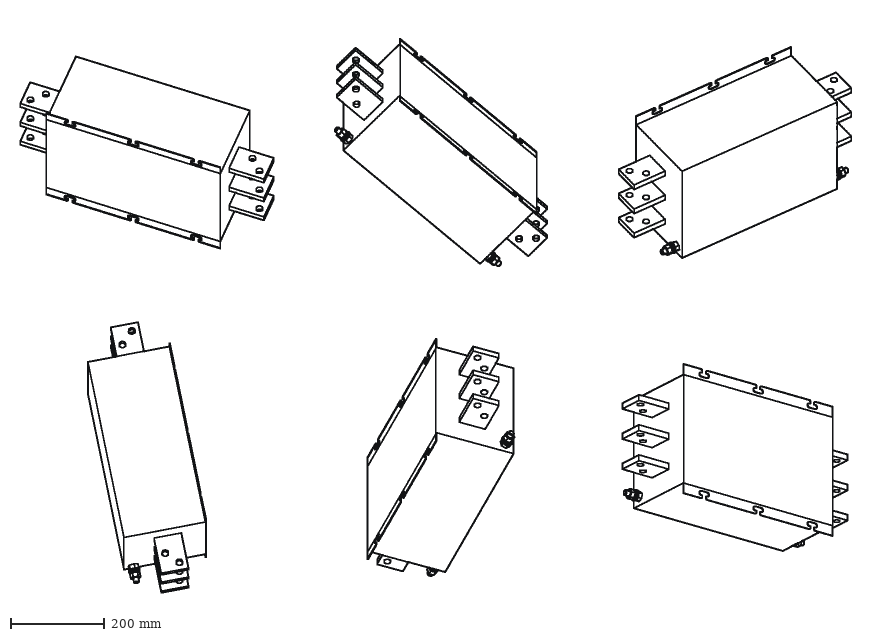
import cadquery as cq
import math

overall_length = 560.0
housing_length = 400.0
housing_height = 252.0
overall_depth = 180.0
plate_height = 300.0
plate_thickness = 1.5

slots_per_edge = 3
slot_pitch = 145.0
slot_length = 25.0
slot_width = 10.0
slot_edge_distance = 12.5
neck_width = 10.0
neck_mouth_chamfer = 2.0

bar_count = 3
bar_pitch = 70.0
bar_thickness = 13.5
bar_width = 60.0
bar_center_y = 84.0
bar_hole_diameter = 14.0
bar_hole_spacing = 26.0
outer_hole_end_distance = 17.0

stud_back_inset = 20.0
stud_bottom_inset = 21.0
stud_diameter = 12.0
stud_length = 39.0
stud_tip_chamfer = 1.4
nut_across_flats = 19.0
inner_nut_thickness = 10.0
inner_nut_turn = -19.0
outer_nut_turn = 0.0
outer_nut_thickness = 10.0
flat_washer_diameter = 24.0
flat_washer_thickness = 3.5
contact_washer_diameter = 23.0
contact_washer_thickness = 1.5
lock_washer_diameter = 21.0
lock_washer_thickness = 3.5

half_housing = housing_length / 2
half_plate = plate_height / 2
stud_y = overall_depth - stud_back_inset
stud_z = stud_bottom_inset - housing_height / 2


def centered_positions(count, pitch):
    """Evenly spaced positions, symmetric about zero."""
    return [(i - (count - 1) / 2) * pitch for i in range(count)]


def make_housing():
    return cq.Workplane("XY").box(
        housing_length, overall_depth, housing_height, centered=(True, False, True)
    )


def make_keyhole(x, side):
    """Cutter for one slot on the top (side = 1) or bottom (side = -1) edge."""
    edge_z = side * half_plate
    slot_z = side * (half_plate - slot_edge_distance)
    mouth_z = side * (half_plate - neck_mouth_chamfer)
    half_neck = neck_width / 2
    half_mouth = half_neck + neck_mouth_chamfer
    face = cq.Workplane("XZ")
    slot = face.center(x, slot_z).slot2D(slot_length, slot_width).extrude(-plate_thickness)
    neck = (
        face.moveTo(x - half_neck, slot_z)
        .lineTo(x - half_neck, mouth_z)
        .lineTo(x - half_mouth, edge_z)
        .lineTo(x + half_mouth, edge_z)
        .lineTo(x + half_neck, mouth_z)
        .lineTo(x + half_neck, slot_z)
        .close()
        .extrude(-plate_thickness)
    )
    return slot.union(neck)


def make_plate():
    plate = cq.Workplane("XY").box(
        housing_length, plate_thickness, plate_height, centered=(True, False, True)
    )
    for x in centered_positions(slots_per_edge, slot_pitch):
        for side in (1, -1):
            plate = plate.cut(make_keyhole(x, side))
    return plate


def make_busbar(z):
    """Bar through the housing with a diagonal pair of holes at each end."""
    outer_x = overall_length / 2 - outer_hole_end_distance
    inner_x = outer_x - bar_hole_spacing
    half_spacing = bar_hole_spacing / 2
    hole_centers = []
    for side in (1, -1):
        hole_centers.append((side * outer_x, -half_spacing))
        hole_centers.append((side * inner_x, half_spacing))
    bar = cq.Workplane("XY").box(overall_length, bar_width, bar_thickness)
    holes = (
        cq.Workplane("XY")
        .pushPoints(hole_centers)
        .circle(bar_hole_diameter / 2)
        .extrude(bar_thickness, both=True)
    )
    return bar.cut(holes).translate((0, bar_center_y, z))


def make_disc(start, thickness, diameter):
    return cq.Workplane("YZ", origin=(start, 0, 0)).circle(diameter / 2).extrude(thickness)


def make_nut(start, thickness, turn):
    """Hexagon nut along X; turn = 0 puts corners at +Y and -Y."""
    across_corners = nut_across_flats / math.cos(math.radians(30))
    nut = cq.Workplane("YZ", origin=(start, 0, 0)).polygon(6, across_corners).extrude(thickness)
    return nut.rotate((0, 0, 0), (1, 0, 0), turn)


def make_stud():
    """Stud on the +X end face: a rod carrying an inner nut, three washers and an outer nut."""
    stud = make_disc(half_housing, stud_length, stud_diameter).faces(">X").chamfer(stud_tip_chamfer)
    stud = stud.union(make_nut(half_housing, inner_nut_thickness, inner_nut_turn))
    position = half_housing + inner_nut_thickness
    washers = [
        (flat_washer_thickness, flat_washer_diameter),
        (contact_washer_thickness, contact_washer_diameter),
        (lock_washer_thickness, lock_washer_diameter),
    ]
    for thickness, diameter in washers:
        stud = stud.union(make_disc(position, thickness, diameter))
        position += thickness
    stud = stud.union(make_nut(position, outer_nut_thickness, outer_nut_turn))
    return stud.translate((0, stud_y, stud_z))


result = make_housing().union(make_plate())
for bar_z in centered_positions(bar_count, bar_pitch):
    result = result.union(make_busbar(bar_z))
right_stud = make_stud()
result = result.union(right_stud).union(right_stud.mirror("YZ"))